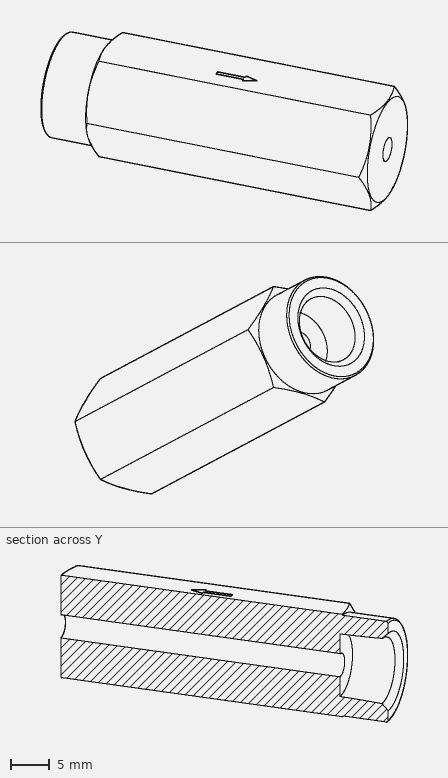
import cadquery as cq
import math

total_length = 45.7
hex_across_corners = 16.4
hex_across_flats = hex_across_corners * math.cos(math.radians(30))

collar_diameter = 14.0
collar_length = 6.35
collar_chamfer = 0.25

hex_end_diameter = collar_diameter
hex_chamfer_angle = 30.0

mouth_diameter = 10.7
port_diameter = 8.95
port_floor_diameter = 8.6
port_taper = 1 / 16
mouth_chamfer_angle = 45.0
passage_diameter = 3.15

arrow_tail_x = -0.5
arrow_neck_x = 3.35
arrow_tip_x = 5.1
arrow_axis_y = -1.2
arrow_shaft_width = 0.6
arrow_head_width = 1.35
arrow_depth = 0.07

left_end = -total_length / 2
right_end = total_length / 2
shoulder_x = left_end + collar_length
hex_corner_radius = hex_across_corners / 2
hex_chamfer_depth = hex_corner_radius - hex_end_diameter / 2
hex_chamfer_length = hex_chamfer_depth * math.tan(math.radians(hex_chamfer_angle))
mouth_chamfer_depth = (mouth_diameter - port_diameter) / 2
mouth_chamfer_length = mouth_chamfer_depth / math.tan(math.radians(mouth_chamfer_angle))
taper_length = (port_diameter - port_floor_diameter) / port_taper


def revolve_about_axis(points):
    """Turn a half profile of (x, radius) points into a solid around the X axis."""
    return cq.Workplane("XY").polyline(points).close().revolve(360, (0, 0, 0), (1, 0, 0))


def make_hex_body():
    """Hexagon with corners on +Y and -Y, its corners cut by a cone at each end."""
    prism = (
        cq.Workplane("YZ", origin=(shoulder_x, 0, 0))
        .polygon(6, hex_across_corners)
        .extrude(right_end - shoulder_x)
    )
    envelope = revolve_about_axis([
        (shoulder_x, 0),
        (shoulder_x, hex_end_diameter / 2),
        (shoulder_x + hex_chamfer_length, hex_corner_radius),
        (right_end - hex_chamfer_length, hex_corner_radius),
        (right_end, hex_end_diameter / 2),
        (right_end, 0),
    ])
    return prism.intersect(envelope)


def make_collar():
    """Round collar with a small chamfer at its free end."""
    radius = collar_diameter / 2
    return revolve_about_axis([
        (left_end, 0),
        (left_end, radius - collar_chamfer),
        (left_end + collar_chamfer, radius),
        (shoulder_x, radius),
        (shoulder_x, 0),
    ])


def make_port():
    """Chamfered mouth leading into a tapered bore with a flat floor."""
    taper_start = left_end + mouth_chamfer_length
    taper_end = taper_start + taper_length
    return revolve_about_axis([
        (left_end, 0),
        (left_end, mouth_diameter / 2),
        (taper_start, port_diameter / 2),
        (taper_end, port_floor_diameter / 2),
        (taper_end, 0),
    ])


def make_passage():
    """Straight hole through the full length."""
    return cq.Workplane("YZ", origin=(left_end, 0, 0)).circle(passage_diameter / 2).extrude(total_length)


def make_arrow():
    """Arrow pointing to +X, reaching down from the top flat."""
    half_shaft = arrow_shaft_width / 2
    half_head = arrow_head_width / 2
    return (
        cq.Workplane("XY", origin=(0, arrow_axis_y, hex_across_flats / 2))
        .moveTo(arrow_tail_x, -half_shaft)
        .lineTo(arrow_neck_x, -half_shaft)
        .lineTo(arrow_neck_x, -half_head)
        .lineTo(arrow_tip_x, 0)
        .lineTo(arrow_neck_x, half_head)
        .lineTo(arrow_neck_x, half_shaft)
        .lineTo(arrow_tail_x, half_shaft)
        .close()
        .extrude(-arrow_depth)
    )


body = make_hex_body().union(make_collar())
result = body.cut(make_port()).cut(make_passage()).cut(make_arrow())